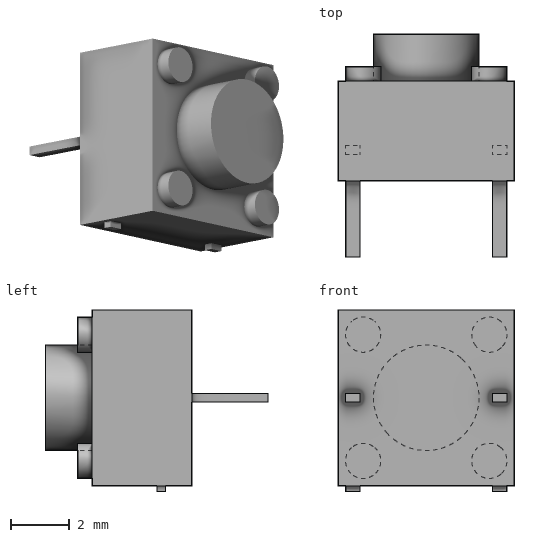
import cadquery as cq

housing_side = 6.0
housing_depth = 3.4

plunger_diameter = 3.6
plunger_height = 1.6
stud_diameter = 1.2
stud_height = 0.5
stud_offset = 2.15

terminal_width = 0.5
terminal_thickness = 0.3
terminal_offset = 2.5
pin_length = 2.6
tab_length = 0.2
tab_setback = 1.05


def make_housing():
    return cq.Workplane("XY").box(housing_side, housing_depth, housing_side).translate((0, housing_depth / 2, 0))


def make_back_cylinder(diameter, height, x, z):
    """Cylinder standing on the back face and pointing along +Y."""
    axis = cq.Vector(0, 1, 0)
    base = cq.Vector(x, housing_depth, z)
    return cq.Workplane(cq.Solid.makeCylinder(diameter / 2, height, base, axis))


def make_pin(x):
    """Long terminal pointing along -Y at mid height of the housing."""
    pin = cq.Workplane("XY").box(terminal_width, pin_length, terminal_thickness)
    return pin.translate((x, -pin_length / 2, 0))


def make_tab(x):
    """Short terminal pointing along -Z from the underside of the housing."""
    tab = cq.Workplane("XY").box(terminal_width, terminal_thickness, tab_length)
    return tab.translate((x, tab_setback, -(housing_side + tab_length) / 2))


result = make_housing()
result = result.union(make_back_cylinder(plunger_diameter, plunger_height, 0, 0))
for side in (-1, 1):
    for level in (-1, 1):
        stud = make_back_cylinder(stud_diameter, stud_height, side * stud_offset, level * stud_offset)
        result = result.union(stud)
    result = result.union(make_pin(side * terminal_offset))
    result = result.union(make_tab(side * terminal_offset))